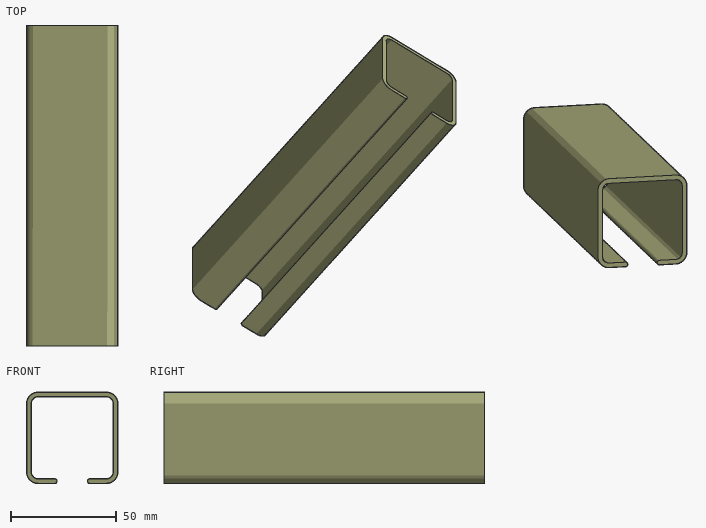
import cadquery as cq

length = 152.4
side = 43.5
wall = 2.3
outer_radius = 5.5
slot_width = 14.3

inner_side = side - 2 * wall
inner_radius = outer_radius - wall
tip_radius = wall / 2
tip_center_x = slot_width / 2 + tip_radius
tip_center_z = tip_radius - side / 2


def rounded_bar(size, corner_radius):
    """Square bar along Y with rounded long edges."""
    return cq.Workplane("XY").box(size, length, size).edges("|Y").fillet(corner_radius)


tube = rounded_bar(side, outer_radius).cut(rounded_bar(inner_side, inner_radius))

slot = cq.Workplane("XY").box(2 * tip_center_x, length, 2 * wall).translate((0, 0, tip_center_z))
rail = tube.cut(slot)

tips = (
    cq.Workplane("XZ")
    .pushPoints([(-tip_center_x, tip_center_z), (tip_center_x, tip_center_z)])
    .circle(tip_radius)
    .extrude(length / 2, both=True)
)
result = rail.union(tips).clean()